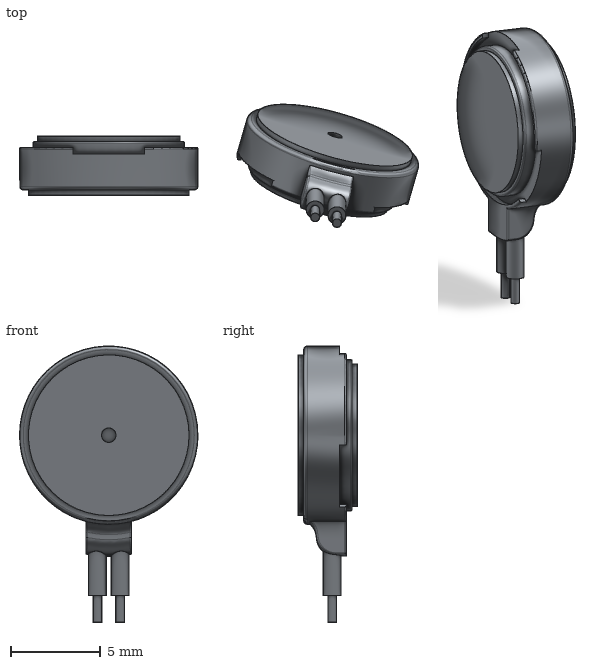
import cadquery as cq
import math


case_diameter = 10.0
case_radius = case_diameter / 2
case_front = 0.31
rim_back = 2.7
rim_inner_radius = 9.5 / 2
front_edge_fillet = 0.2
rim_edge_fillet = 0.1

front_disc_radius = 9.0 / 2
back_ring_radius = 8.5 / 2
back_ring_face = 3.02
back_ring_fillet = 0.1
back_disc_radius = 8.0 / 2
total_thickness = 3.32
center_hole_diameter = 0.8
center_hole_depth = case_front

notch_width = 4.0
notch_floor = 2.32
notch_angles = (90, 210, 330)

outlet_width = 2.57
outlet_bottom_radius = 6.79
outlet_root_radius = 4.8
outlet_edge_fillet = 0.1
outlet_sweep_angle = 60
neck_arc_radius = 0.93
wall_lean = math.radians(8)
wall_start_y = 0.99
wall_start_radius = 5.58
wall_end_radius = 5.86

overall_height = 15.5
wire_spacing = 1.27
wire_y = 1.9
wire_diameter = 1.0
core_diameter = 0.5
core_length = 1.5
wire_top = -wall_end_radius
wire_end = case_radius - overall_height


def disc(radius, y_start, y_end):
    """Cylinder around the motor axis between two Y positions."""
    return cq.Workplane("XZ", origin=(0, y_start, 0)).circle(radius).extrude(y_start - y_end)


def make_case():
    """Cup with a rounded front edge and a thin rim notched in three places."""
    case = disc(case_radius, case_front, rim_back)
    case = case.faces("<Y").edges().fillet(front_edge_fillet)
    case = case.faces(">Y").edges().fillet(rim_edge_fillet)
    case = case.cut(disc(rim_inner_radius, notch_floor, rim_back))
    notch_depth = rim_back - notch_floor
    for angle in notch_angles:
        notch = cq.Workplane("XY").box(
            case_diameter, notch_depth, notch_width, centered=(False, False, True)
        )
        notch = notch.translate((0, notch_floor, 0)).rotate((0, 0, 0), (0, 1, 0), -angle)
        case = case.cut(notch)
    return case


def make_back_ring():
    """Ring standing up inside the rim, with a rounded back edge."""
    ring = disc(back_ring_radius, case_front, back_ring_face)
    return ring.faces(">Y").edges().fillet(back_ring_fillet)


def point_on_arc(center, radius, angle):
    """Point at the given angle on a circle in the YZ plane."""
    return (center[0] + radius * math.cos(angle), center[1] + radius * math.sin(angle))


def outlet_profile():
    """Half section: hollow neck, leaning wall and round belly, all tangent to each other."""
    wall_start = (wall_start_y, -wall_start_radius)
    wall_run = (wall_end_radius - wall_start_radius) * math.tan(wall_lean)
    wall_end = (wall_start_y + wall_run, -wall_end_radius)

    neck_center = point_on_arc(wall_start, -neck_arc_radius, wall_lean)
    root_angle = math.asin((-outlet_root_radius - neck_center[1]) / neck_arc_radius)
    root = point_on_arc(neck_center, neck_arc_radius, root_angle)
    neck_mid = point_on_arc(neck_center, neck_arc_radius, (root_angle + wall_lean) / 2)

    belly_arc_radius = (outlet_bottom_radius - wall_end_radius) / (1 - math.sin(wall_lean))
    belly_center = point_on_arc(wall_end, belly_arc_radius, wall_lean)
    belly_mid_angle = math.pi + (wall_lean + math.pi / 2) / 2
    belly_mid = point_on_arc(belly_center, belly_arc_radius, belly_mid_angle)
    belly_end = (belly_center[0], -outlet_bottom_radius)

    return (
        cq.Workplane("YZ")
        .moveTo(rim_back, -outlet_root_radius)
        .lineTo(*root)
        .threePointArc(neck_mid, wall_start)
        .lineTo(*wall_end)
        .threePointArc(belly_mid, belly_end)
        .lineTo(rim_back, -outlet_bottom_radius)
        .close()
    )


def make_outlet():
    """S-curved block swept around the motor axis and trimmed to a constant width."""
    ring_sector = outlet_profile().revolve(outlet_sweep_angle, (0, 0, 0), (1, 0, 0))
    ring_sector = ring_sector.rotate((0, 0, 0), (0, 1, 0), -outlet_sweep_angle / 2)
    trim = cq.Workplane("XY").box(outlet_width, total_thickness, outlet_bottom_radius)
    trim = trim.translate((0, total_thickness / 2, -outlet_bottom_radius))
    outlet = ring_sector.intersect(trim)
    return outlet.faces("<X or >X").edges().fillet(outlet_edge_fillet)


def make_wire(x):
    """Insulated wire hanging from the outlet with a bare core at its end."""
    end = cq.Workplane("XY", origin=(x, wire_y, wire_end))
    core = end.circle(core_diameter / 2).extrude(core_length)
    sleeve_length = wire_top - wire_end - core_length
    sleeve = end.workplane(offset=core_length).circle(wire_diameter / 2).extrude(sleeve_length)
    return core.union(sleeve)


result = make_case()
result = result.union(disc(front_disc_radius, 0, notch_floor))
result = result.union(make_back_ring())
result = result.union(disc(back_disc_radius, case_front, total_thickness))
result = result.union(make_outlet())
for wire_x in (-wire_spacing / 2, wire_spacing / 2):
    result = result.union(make_wire(wire_x))
result = result.cut(disc(center_hole_diameter / 2, 0, center_hole_depth))